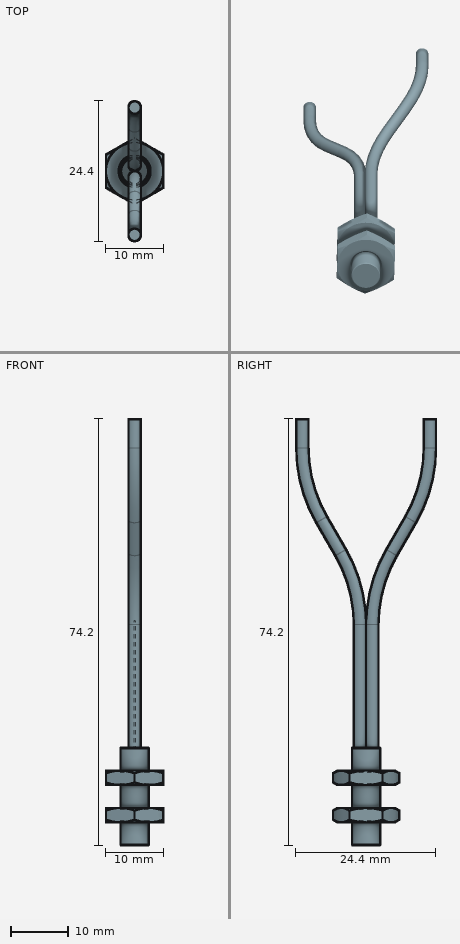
import cadquery as cq
import math

SLEEVE_DIAMETER = 5.0
SLEEVE_LENGTH = 17.0
SLEEVE_CHAMFER = 0.15

NUT_ACROSS_FLATS = 10.0
NUT_COUNT = 2
NUT_THICKNESS = 2.5
NUT_CHAMFER_ANGLE = 30.0
NUT_COUNTERSINK = 0.3
NUT_SIDES = 6
HEX_HALF_ANGLE = 180.0 / NUT_SIDES
NUT_GAP = (SLEEVE_LENGTH - NUT_COUNT * NUT_THICKNESS) / (NUT_COUNT + 1)

CABLE_DIAMETER = 2.2
CABLE_OVERLAP = 0.02
CABLE_OFFSET = (CABLE_DIAMETER - CABLE_OVERLAP) / 2
OVERALL_WIDTH = 24.41
OVERALL_HEIGHT = 74.22
CABLE_START_HEIGHT = SLEEVE_LENGTH / 2
BEND_RADIUS = 25.0
BEND_ANGLE = 30.0
CABLE_END_LENGTH = 5.0

END_OFFSET = (OVERALL_WIDTH - CABLE_DIAMETER) / 2
BEND_SINE = math.sin(math.radians(BEND_ANGLE))
BEND_COSINE = math.cos(math.radians(BEND_ANGLE))
BEND_RISE = BEND_RADIUS * BEND_SINE
BEND_SHIFT = BEND_RADIUS * (1 - BEND_COSINE)
SLOPE_SHIFT = END_OFFSET - CABLE_OFFSET - 2 * BEND_SHIFT
SLOPE_RISE = SLOPE_SHIFT * BEND_COSINE / BEND_SINE
UPPER_BEND_TOP = OVERALL_HEIGHT - CABLE_END_LENGTH
FORK_HEIGHT = UPPER_BEND_TOP - 2 * BEND_RISE - SLOPE_RISE


def make_sleeve():
    """Plain cylinder with both end rims chamfered."""
    sleeve = cq.Workplane("XY").circle(SLEEVE_DIAMETER / 2).extrude(SLEEVE_LENGTH)
    return sleeve.faces("<Z or >Z").chamfer(SLEEVE_CHAMFER)


def make_nut(bottom_height):
    """Hexagonal nut with flats facing +X and -X, conical corner chamfers and a countersunk bore."""
    corner_radius = NUT_ACROSS_FLATS / 2 / math.cos(math.radians(HEX_HALF_ANGLE))
    face_radius = NUT_ACROSS_FLATS / 2
    cone_drop = (corner_radius - face_radius) * math.tan(math.radians(NUT_CHAMFER_ANGLE))
    hexagon = (
        cq.Workplane("XY")
        .polygon(NUT_SIDES, 2 * corner_radius)
        .extrude(NUT_THICKNESS)
        .rotate((0, 0, 0), (0, 0, 1), HEX_HALF_ANGLE)
    )
    envelope = (
        cq.Workplane("XZ")
        .moveTo(0, 0)
        .lineTo(face_radius, 0)
        .lineTo(corner_radius, cone_drop)
        .lineTo(corner_radius, NUT_THICKNESS - cone_drop)
        .lineTo(face_radius, NUT_THICKNESS)
        .lineTo(0, NUT_THICKNESS)
        .close()
        .revolve(360, (0, 0, 0), (0, 1, 0))
    )
    nut = hexagon.intersect(envelope).faces("<Z").workplane().hole(SLEEVE_DIAMETER)
    nut = nut.edges(cq.selectors.RadiusNthSelector(0)).chamfer(NUT_COUNTERSINK)
    return nut.translate((0, 0, bottom_height))


def make_cable():
    """Cable on the +Y side, from inside the sleeve up to its free end."""
    half_angle = math.radians(BEND_ANGLE / 2)
    half_shift = BEND_RADIUS * (1 - math.cos(half_angle))
    half_rise = BEND_RADIUS * math.sin(half_angle)
    lower_bend_end = (CABLE_OFFSET + BEND_SHIFT, FORK_HEIGHT + BEND_RISE)
    upper_bend_start = (END_OFFSET - BEND_SHIFT, UPPER_BEND_TOP - BEND_RISE)
    path = (
        cq.Workplane("YZ")
        .moveTo(CABLE_OFFSET, CABLE_START_HEIGHT)
        .lineTo(CABLE_OFFSET, FORK_HEIGHT)
        .threePointArc((CABLE_OFFSET + half_shift, FORK_HEIGHT + half_rise), lower_bend_end)
        .lineTo(*upper_bend_start)
        .threePointArc((END_OFFSET - half_shift, UPPER_BEND_TOP - half_rise), (END_OFFSET, UPPER_BEND_TOP))
        .lineTo(END_OFFSET, OVERALL_HEIGHT)
    )
    profile = cq.Workplane("XY", origin=(0, CABLE_OFFSET, CABLE_START_HEIGHT)).circle(CABLE_DIAMETER / 2)
    return profile.sweep(path)


cable = make_cable()
result = make_sleeve().union(cable).union(cable.mirror("XZ"))
for index in range(NUT_COUNT):
    nut_bottom = NUT_GAP + index * (NUT_GAP + NUT_THICKNESS)
    result = result.union(make_nut(nut_bottom))